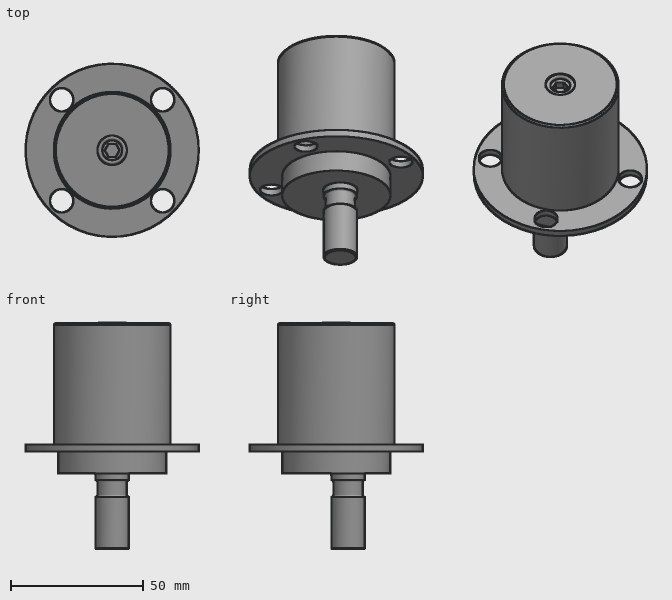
import cadquery as cq
import math

overall_height = 85.85
boss_bottom = 28.7
flange_bottom = 36.9
flange_thickness = 2.75

barrel_radius = 22.15
barrel_chamfer = 0.8
boss_radius = 20.5

flange_diameter = 65.7
flange_radius = flange_diameter / 2
flange_hole_count = 4
flange_hole_radius = 4.4
flange_hole_circle_radius = 27.0
first_hole_angle = 45.0

ring_outer_radius = 5.6
ring_section_diameter = 1.8
ring_protrusion = 0.2
ring_section_radius = ring_section_diameter / 2
ring_centre_radius = ring_outer_radius - ring_section_radius
ring_centre_height = overall_height - ring_section_radius
housing_top = overall_height - ring_protrusion
recess_floor = overall_height - ring_section_diameter

socket_across_flats = 4.9
socket_across_corners = socket_across_flats / math.cos(math.pi / 6)
socket_depth = 3.0

shaft_offset = 4.5
shaft_radius = 6.35
shaft_end_chamfer = 0.4

neck_radius = 5.6
neck_bottom = 19.75
neck_top = 26.2
neck_fillet = shaft_radius - neck_radius

flare_height = 0.8
flare_arc_radius = 1.8
flare_angle = math.asin(flare_height / flare_arc_radius)


def disc(radius, bottom, top):
    """Upright cylinder on the housing axis between two heights."""
    return cq.Workplane("XY").workplane(offset=bottom).circle(radius).extrude(top - bottom)


def make_flange():
    flange_top = flange_bottom + flange_thickness
    holes = (
        cq.Workplane("XY").workplane(offset=flange_bottom)
        .polarArray(flange_hole_circle_radius, first_hole_angle, 360, flange_hole_count)
        .circle(flange_hole_radius)
        .extrude(flange_thickness)
    )
    return disc(flange_radius, flange_bottom, flange_top).cut(holes)


def make_housing():
    barrel = disc(barrel_radius, flange_bottom, housing_top).faces(">Z").chamfer(barrel_chamfer)
    boss = disc(boss_radius, boss_bottom, flange_bottom)
    recess = disc(ring_outer_radius, recess_floor, housing_top)
    socket = (
        cq.Workplane("XY").workplane(offset=recess_floor - socket_depth)
        .polygon(6, socket_across_corners)
        .extrude(socket_depth)
    )
    return barrel.union(make_flange()).union(boss).cut(recess).cut(socket)


def make_sealing_ring():
    ring = cq.Solid.makeTorus(ring_centre_radius, ring_section_radius)
    return cq.Workplane(ring).translate((0, 0, ring_centre_height))


def concave_arc_point(start, arc_radius, angle):
    """Point on a hollow arc that runs parallel to the axis at start and turns outward by angle."""
    start_radius, start_height = start
    radius = start_radius + arc_radius * (1 - math.cos(angle))
    return (radius, start_height + arc_radius * math.sin(angle))


def make_shaft():
    neck_start = (neck_radius, neck_bottom + neck_fillet)
    neck_end = (neck_radius, neck_top - neck_fillet)
    flare_start = (shaft_radius, boss_bottom - flare_height)
    profile = (
        cq.Workplane("XZ")
        .lineTo(shaft_radius - shaft_end_chamfer, 0)
        .lineTo(shaft_radius, shaft_end_chamfer)
        .lineTo(shaft_radius, neck_bottom)
        .threePointArc(
            concave_arc_point(neck_start, neck_fillet, -math.pi / 4),
            neck_start,
        )
        .lineTo(*neck_end)
        .threePointArc(
            concave_arc_point(neck_end, neck_fillet, math.pi / 4),
            (shaft_radius, neck_top),
        )
        .lineTo(*flare_start)
        .threePointArc(
            concave_arc_point(flare_start, flare_arc_radius, flare_angle / 2),
            concave_arc_point(flare_start, flare_arc_radius, flare_angle),
        )
        .lineTo(0, boss_bottom)
        .close()
    )
    return profile.revolve(360, (0, 0), (0, 1)).translate((0, shaft_offset, 0))


housing = make_housing()
sealing_ring = make_sealing_ring()
shaft = make_shaft()

result = cq.Compound.makeCompound([housing.val(), sealing_ring.val(), shaft.val()])